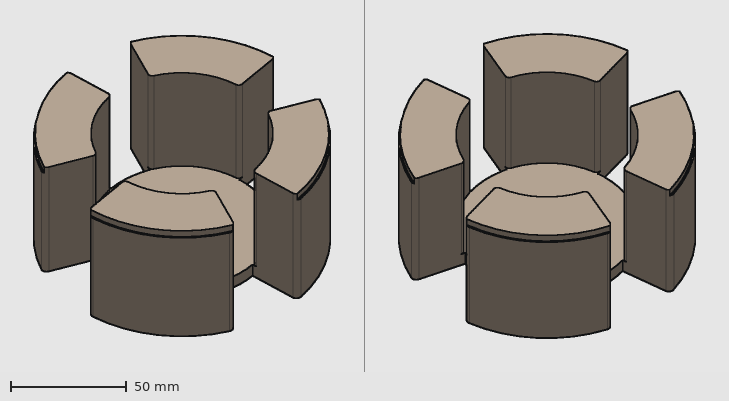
import cadquery as cq
import math

overall_width = 122.7
height = 60.3

sector_count = 4
half_gap_angle = math.radians(15.0)
outer_corner_radius = 2.5
inner_corner_radius = 2.0
inner_radius = 39.3

base_thickness = 6.5

step_height = 3.4
step_depth = 0.7

corner_start = (
    overall_width / 2 - outer_corner_radius + outer_corner_radius * math.sin(half_gap_angle)
) / math.cos(half_gap_angle)
outer_radius = math.hypot(corner_start, outer_corner_radius) + outer_corner_radius


def polar(radius, angle):
    return (radius * math.cos(angle), radius * math.sin(angle))


def make_sector():
    """One full-height sector in the +X, +Y quadrant, with rounded vertical edges."""
    start = half_gap_angle
    end = math.pi / 2 - half_gap_angle
    middle = (start + end) / 2
    middle_radius = (inner_radius + outer_radius) / 2
    sector = (
        cq.Workplane("XY")
        .moveTo(*polar(inner_radius, start))
        .lineTo(*polar(outer_radius, start))
        .threePointArc(polar(outer_radius, middle), polar(outer_radius, end))
        .lineTo(*polar(inner_radius, end))
        .threePointArc(polar(inner_radius, middle), polar(inner_radius, start))
        .close()
        .extrude(height)
    )
    outer_edges = sector.edges("|Z").filter(
        lambda edge: math.hypot(edge.Center().x, edge.Center().y) > middle_radius
    )
    sector = outer_edges.fillet(outer_corner_radius)
    inner_edges = sector.edges("|Z").filter(
        lambda edge: math.hypot(edge.Center().x, edge.Center().y) < middle_radius
    )
    return inner_edges.fillet(inner_corner_radius)


def make_step_cutter():
    """Ring that trims the outer face of the sectors near the top."""
    return (
        cq.Workplane("XY")
        .workplane(offset=height - step_height)
        .circle(outer_radius + step_depth)
        .circle(outer_radius - step_depth)
        .extrude(step_height)
    )


def make_base():
    """Base plate, with square corners under the sectors' rounded inner edges."""
    base = cq.Workplane("XY").circle(inner_radius).extrude(base_thickness)
    foot_radius = inner_radius + 2 * inner_corner_radius
    start = half_gap_angle
    end = math.pi / 2 - half_gap_angle
    foot = (
        cq.Workplane("XY")
        .lineTo(*polar(foot_radius, start))
        .threePointArc(polar(foot_radius, (start + end) / 2), polar(foot_radius, end))
        .close()
        .extrude(base_thickness)
    )
    for index in range(sector_count):
        base = base.union(foot.rotate((0, 0, 0), (0, 0, 1), index * 360 / sector_count))
    return base


sector = make_sector().cut(make_step_cutter())
result = make_base()
for index in range(sector_count):
    result = result.union(sector.rotate((0, 0, 0), (0, 0, 1), index * 360 / sector_count))
result = result.clean()